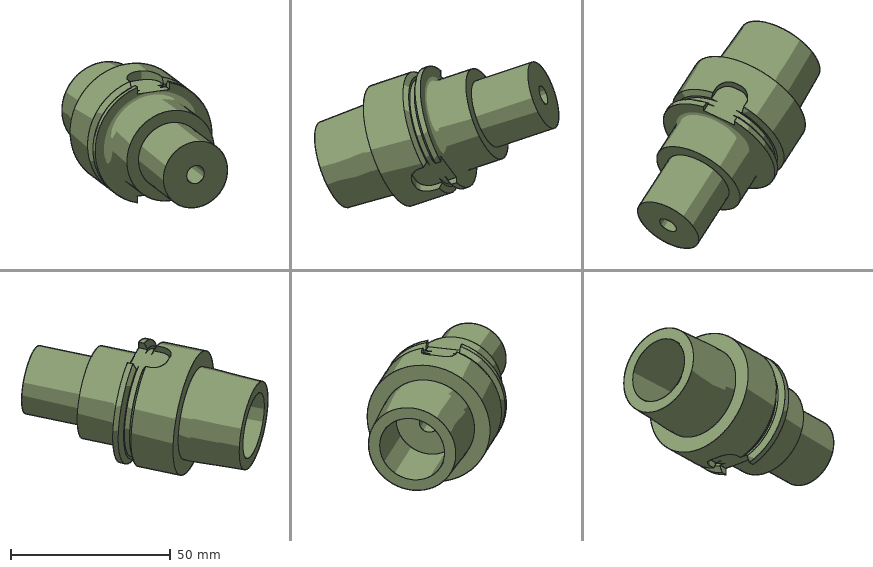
import cadquery as cq
import math

taper_end = 16.0
flange_start = 20.0
groove_chamfer_start = 33.95
groove_start = 35.05
groove_end = 37.0
groove_cone_end = 38.2
flange_end = 40.0
collar_end = 53.5
total_length = 73.3

nose_tip_radius = 14.2
collar_radius = 14.95
flange_radius = 20.0
groove_radius = 17.4
groove_lip_radius = 18.2
shank_radius = 11.0
root_fillet = 2.0

bore_radius = 10.55
bore_depth = flange_start
through_hole_radius = 3.0

slot_width = 11.0
slot_length = 12.0
slot_corner_radius = 4.5
slot_floor_height = 17.0


def make_body():
    """Revolved outside profile, including the flange groove and root fillet."""
    arc_offset = root_fillet * math.sqrt(0.5)
    fillet_x = flange_end + root_fillet
    fillet_r = collar_radius + root_fillet
    profile = (
        cq.Workplane("XY")
        .lineTo(0, nose_tip_radius)
        .lineTo(taper_end, collar_radius)
        .lineTo(flange_start, collar_radius)
        .lineTo(flange_start, flange_radius)
        .lineTo(groove_chamfer_start, flange_radius)
        .lineTo(groove_start, groove_lip_radius)
        .lineTo(groove_start, groove_radius)
        .lineTo(groove_end, groove_radius)
        .lineTo(groove_end, groove_lip_radius)
        .lineTo(groove_cone_end, flange_radius)
        .lineTo(flange_end, flange_radius)
        .lineTo(flange_end, fillet_r)
        .threePointArc(
            (fillet_x - arc_offset, fillet_r - arc_offset),
            (fillet_x, collar_radius),
        )
        .lineTo(collar_end, collar_radius)
        .lineTo(collar_end, shank_radius)
        .lineTo(total_length, shank_radius)
        .lineTo(total_length, 0)
        .close()
    )
    return profile.revolve(360, (0, 0, 0), (1, 0, 0))


def make_bore():
    """Wide blind bore in the nose followed by a narrow hole right through."""
    bore = cq.Workplane("YZ").circle(bore_radius).extrude(bore_depth)
    hole = cq.Workplane("YZ").circle(through_hole_radius).extrude(total_length)
    return bore.union(hole)


def make_slot():
    """Flat-floored drive slot, open towards the shank, with a rounded closed end."""
    slot_depth = flange_radius - slot_floor_height
    return (
        cq.Workplane("XY", origin=(flange_end - slot_length, 0, slot_floor_height))
        .rect(slot_length, slot_width)
        .extrude(slot_depth)
        .translate((slot_length / 2, 0, 0))
        .edges("|Z and <X")
        .fillet(slot_corner_radius)
    )


top_slot = make_slot()
bottom_slot = top_slot.mirror("XY")
result = make_body().cut(make_bore()).cut(top_slot).cut(bottom_slot)